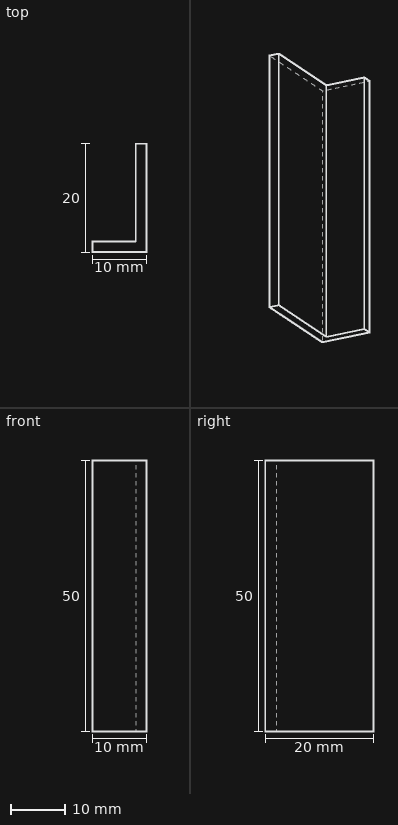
import cadquery as cq

short_leg = 10.0
long_leg = 20.0
length = 50.0
thickness = 2.0


def angle_profile():
    """L-shaped section with its outer corner at +X, -Y."""
    inner_x = short_leg - thickness
    return (
        cq.Workplane("XY")
        .moveTo(0, 0)
        .lineTo(short_leg, 0)
        .lineTo(short_leg, long_leg)
        .lineTo(inner_x, long_leg)
        .lineTo(inner_x, thickness)
        .lineTo(0, thickness)
        .close()
    )


result = angle_profile().extrude(length)